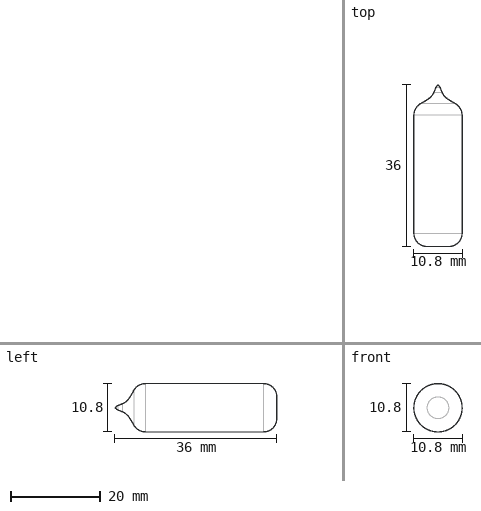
import cadquery as cq
import math

length = 36.0
body_radius = 5.4
round_radius = 3.0
shoulder_angle = math.radians(59)

shoulder_start = 29.25
stem_start = 34.3
tip_start = 35.4
point_start = 35.7

stem_radius = 0.95
tip_radius = 0.5
point_radius = length - point_start


def base_rim_point(angle):
    """Point (radius, y) on the base rim rounding, at an angle from the flat base."""
    radius = body_radius - round_radius + round_radius * math.sin(angle)
    return radius, round_radius * (1 - math.cos(angle))


def shoulder_point(angle):
    """Point (radius, y) on the shoulder rounding, where the wall has turned inwards by the angle."""
    radius = body_radius - round_radius * (1 - math.cos(angle))
    return radius, shoulder_start + round_radius * math.sin(angle)


def make_ampoule():
    """Revolve the half outline around Y; the outline runs from the base to the point."""
    shoulder_direction = (-math.sin(shoulder_angle), math.cos(shoulder_angle))
    stem_direction = (tip_radius - stem_radius, tip_start - stem_start)
    outline = (
        cq.Workplane("ZY")
        .lineTo(*base_rim_point(0))
        .threePointArc(base_rim_point(math.pi / 4), base_rim_point(math.pi / 2))
        .lineTo(body_radius, shoulder_start)
        .threePointArc(shoulder_point(shoulder_angle / 2), shoulder_point(shoulder_angle))
        .spline(
            [(stem_radius, stem_start)],
            tangents=[shoulder_direction, stem_direction],
            includeCurrent=True,
        )
        .lineTo(tip_radius, tip_start)
        .tangentArcPoint((point_radius, point_start), relative=False)
        .lineTo(0, length)
        .close()
    )
    return outline.revolve(360, (0, 0, 0), (0, 1, 0))


ampoule = make_ampoule()

result = cq.Compound.makeCompound([ampoule.val()])